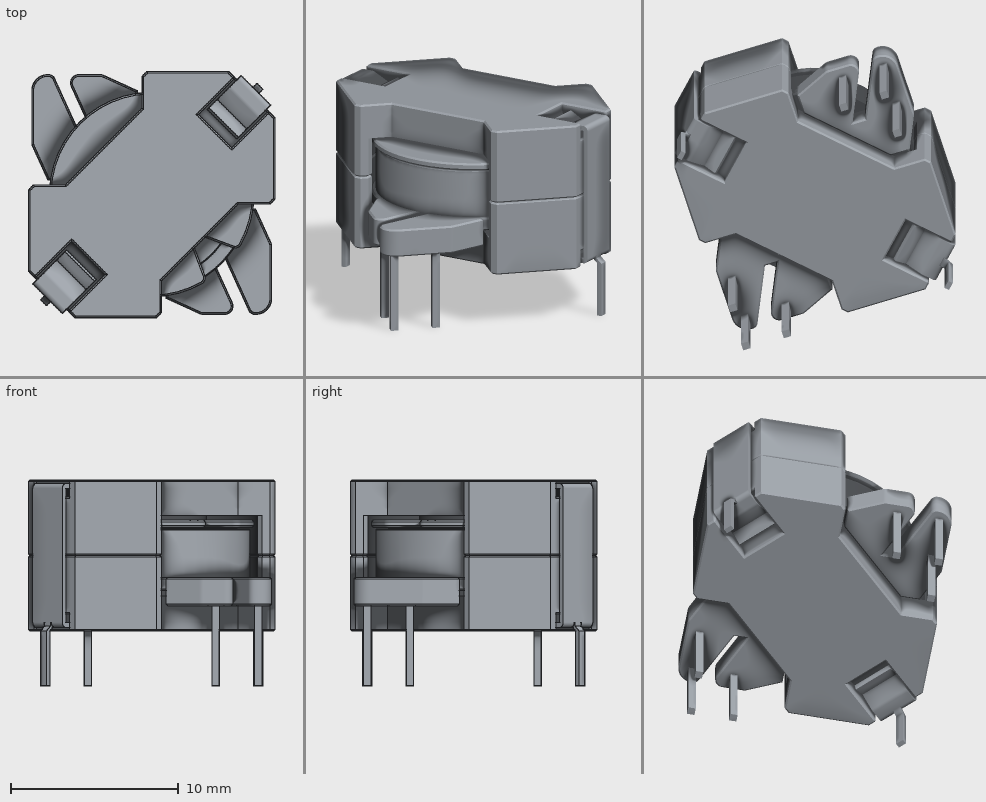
import cadquery as cq
import math

DIAGONAL_ANGLE = 45
ROOT2 = math.sqrt(2)
OVERSHOOT = 1.0

CORE_SIZE = 14.7
CORE_HEIGHT = 9.0
HALF_HEIGHT = CORE_HEIGHT / 2
HALF_SIZE = CORE_SIZE / 2
END_CUT = 2.77
NOTCH_FACE = 0.58
WAIST = 8.1
LEG_CHAMFER = 0.3
EDGE_CHAMFER = 0.1
PLATE_THICKNESS = 2.1
CAVITY_RADIUS = 6.3
POST_DIAMETER = 6.5
CORE_END = (CORE_SIZE - END_CUT) / ROOT2
NOTCH_DEPTH_POINT = WAIST / ROOT2 - NOTCH_FACE

RECESS_WIDTH = 2.8
RECESS_DEPTH = 1.0
RECESS_END = 5.35
RECESS_FILLET = 0.6

CLIP_WIDTH = 2.5
CLIP_THICKNESS = 0.3
CLIP_INSET = 0.2
CLIP_GAP = 0.05
CLIP_INSIDE = CORE_END + CLIP_GAP
CLIP_OUTSIDE = CLIP_INSIDE + CLIP_THICKNESS
ARM_BEND = 7.8
ARM_VALLEY = 6.77
ARM_TIP = 6.07
VALLEY_DROP = 0.5
TIP_DROP = 0.11
ARM_BEND_FILLET = 0.4
CLIP_PIN_WIDTH = 0.5
CLIP_PIN_OFFSET = 0.34
JOG_TOP = 0.3
JOG_BOTTOM = 0.0
CLIP_PIN_RELIEF = 0.06

FLANGE_RADIUS = 6.1
FLANGE_BOTTOM = 6.18
FLANGE_TOP = 6.61
TUBE_DIAMETER = 7.15
FOOT_BOTTOM = 2.4
WING_BOTTOM = 1.5
WING_TOP = 3.2
WING_REACH = 7.15
WING_SIDE = 0.86
WING_GAP = 0.1
WING_INNER = WAIST / 2 + WING_GAP
WING_SLANT_START = 2.97
WING_FILLET = 0.5
WING_TIP_FILLET = 0.95
SLOT_OUTER_FILLET = 0.4
FLARE_ANGLE = 24.5
SLOT_EDGE_INNER = 5.12
SLOT_EDGE_OUTER = 5.9
SLOT_LENGTH = 3.6
GAP_APEX = 3.07
GAP_CORNER_FILLET = 0.4

INNER_WINDING_DIAMETER = 10.17
OUTER_WINDING_DIAMETER = 11.69
OUTER_WINDING_TOP = 6.08
WINDING_CHAMFER = 0.05

PIN_WIDTH = 0.45
PIN_BOTTOM = -3.28
PIN_PITCH = 2.54
PIN_NEAR = 1.5 * PIN_PITCH
PIN_FAR = 2.5 * PIN_PITCH

FLARE = math.tan(math.radians(FLARE_ANGLE))


def cylinder(diameter, bottom, top):
    return cq.Workplane("XY").workplane(offset=bottom).circle(diameter / 2).extrude(top - bottom)


def both_ends(shape):
    """The shape and its copy turned half a turn about Z."""
    return shape.union(shape.rotate((0, 0, 0), (0, 0, 1), 180))


def to_diagonal(shape):
    return shape.rotate((0, 0, 0), (0, 0, 1), DIAGONAL_ANGLE)


def edges_at_radius(solid, radius):
    """Upright edges of the solid at the given distance from the Z axis."""
    tolerance = 0.01
    return solid.edges("|Z").filter(
        lambda edge: abs(math.hypot(edge.Center().x, edge.Center().y) - radius) < tolerance
    )


def core_prism(bottom, top):
    """Square with cut ends and a stepped notch on each side of the waist."""
    upper_end = [
        (-NOTCH_FACE, NOTCH_DEPTH_POINT),
        (-NOTCH_FACE, HALF_SIZE),
        (HALF_SIZE - END_CUT, HALF_SIZE),
        (HALF_SIZE, HALF_SIZE - END_CUT),
        (HALF_SIZE, -NOTCH_FACE),
        (NOTCH_DEPTH_POINT, -NOTCH_FACE),
    ]
    lower_end = [(-x, -y) for x, y in upper_end]
    prism = cq.Workplane("XY").workplane(offset=bottom)
    prism = prism.polyline(upper_end + lower_end).close().extrude(top - bottom)
    return edges_at_radius(prism, math.hypot(HALF_SIZE, NOTCH_FACE)).chamfer(LEG_CHAMFER)


def clip_recess():
    """Recess in the core's underside, open at the end face, with a filleted inner wall."""
    length = CORE_END + OVERSHOOT - RECESS_END
    recess = cq.Workplane("XY").box(
        length, RECESS_WIDTH, RECESS_DEPTH, centered=(False, True, False)
    )
    recess = recess.edges("|Y and >Z and <X").fillet(RECESS_FILLET)
    return to_diagonal(recess.translate((RECESS_END, 0, 0)))


def is_underside_rim(edge):
    """True for edges of the underside and of the recess mouths in the end faces."""
    tolerance = 0.01
    center = edge.Center()
    on_underside = center.z < tolerance
    on_end_face = abs(abs(center.x + center.y) / ROOT2 - CORE_END) < tolerance
    return on_underside or (on_end_face and center.z < RECESS_DEPTH + tolerance)


def lower_core_half():
    legs = core_prism(PLATE_THICKNESS, HALF_HEIGHT)
    legs = legs.cut(cylinder(2 * CAVITY_RADIUS, PLATE_THICKNESS, HALF_HEIGHT))
    legs = edges_at_radius(legs, CAVITY_RADIUS).chamfer(LEG_CHAMFER)
    half = core_prism(0, PLATE_THICKNESS).union(legs)
    half = half.cut(both_ends(clip_recess()))
    half = half.edges().filter(is_underside_rim).chamfer(EDGE_CHAMFER)
    half = half.faces(">Z").edges().chamfer(EDGE_CHAMFER)
    return half.union(cylinder(POST_DIAMETER, PLATE_THICKNESS, HALF_HEIGHT))


def mirrored_about_parting(shape):
    return shape.mirror("XY", (0, 0, HALF_HEIGHT))


def core():
    half = lower_core_half()
    return half.union(mirrored_about_parting(half))


def upright_strip(outline, width):
    """Profile in the XZ plane given a width centred on Y."""
    return cq.Workplane("XZ").polyline(outline).close().extrude(width / 2, both=True)


def clip_upper_half():
    """Outer leg with a rounded bend and a V-shaped arm that dips into the recess."""
    top = CORE_HEIGHT - CLIP_INSET
    under = top - CLIP_THICKNESS
    dip_angle = math.atan2(VALLEY_DROP, ARM_BEND - ARM_VALLEY)
    rise_angle = math.atan2(VALLEY_DROP - TIP_DROP, ARM_VALLEY - ARM_TIP)
    valley_thickness = CLIP_THICKNESS / math.cos((dip_angle + rise_angle) / 2)
    half = upright_strip(
        [
            (CLIP_INSIDE, HALF_HEIGHT),
            (CLIP_OUTSIDE, HALF_HEIGHT),
            (CLIP_OUTSIDE, top),
            (ARM_BEND, top),
            (ARM_VALLEY, top - VALLEY_DROP),
            (ARM_TIP, top - TIP_DROP),
            (
                ARM_TIP - CLIP_THICKNESS * math.sin(rise_angle),
                top - TIP_DROP - CLIP_THICKNESS * math.cos(rise_angle),
            ),
            (ARM_VALLEY, top - VALLEY_DROP - valley_thickness),
            (ARM_BEND + CLIP_THICKNESS * math.tan(dip_angle / 2), under),
            (CLIP_INSIDE, under),
        ],
        CLIP_WIDTH,
    )
    half = half.edges(cq.NearestToPointSelector((CLIP_OUTSIDE, 0, top))).fillet(CLIP_THICKNESS)
    return half.edges(cq.NearestToPointSelector((ARM_BEND, 0, top))).fillet(ARM_BEND_FILLET)


def clip_pin():
    """Strip that continues the leg downward, jogged outward below the core."""
    return upright_strip(
        [
            (CLIP_INSIDE, HALF_HEIGHT),
            (CLIP_INSIDE, JOG_TOP),
            (CLIP_INSIDE + CLIP_PIN_OFFSET, JOG_BOTTOM),
            (CLIP_INSIDE + CLIP_PIN_OFFSET, PIN_BOTTOM),
            (CLIP_OUTSIDE + CLIP_PIN_OFFSET, PIN_BOTTOM),
            (CLIP_OUTSIDE + CLIP_PIN_OFFSET, JOG_BOTTOM),
            (CLIP_OUTSIDE, JOG_TOP),
            (CLIP_OUTSIDE, HALF_HEIGHT),
        ],
        CLIP_PIN_WIDTH,
    )


def clips():
    upper = clip_upper_half()
    relief = cq.Workplane("XY").box(
        CLIP_THICKNESS,
        CLIP_PIN_WIDTH + 2 * CLIP_PIN_RELIEF,
        CLIP_INSET + CLIP_THICKNESS,
        centered=(False, True, False),
    )
    lower = mirrored_about_parting(upper).cut(relief.translate((CLIP_INSIDE, 0, 0)))
    return both_ends(to_diagonal(upper.union(lower).union(clip_pin())))


def wing_slot():
    """Slanted slot that splits a wing, open at its outer side."""
    outer = -WING_REACH - OVERSHOOT
    inner = -WING_REACH + SLOT_LENGTH
    outline = [
        (SLOT_EDGE_INNER + OVERSHOOT * FLARE, outer),
        (SLOT_EDGE_OUTER + OVERSHOOT * FLARE, outer),
        (SLOT_EDGE_OUTER - SLOT_LENGTH * FLARE, inner),
        (SLOT_EDGE_INNER - SLOT_LENGTH * FLARE, inner),
    ]
    height = WING_TOP - WING_BOTTOM
    return cq.Workplane("XY").workplane(offset=WING_BOTTOM).polyline(outline).close().extrude(height)


def wing():
    """Terminal block with two prongs, beside the core's waist."""
    flank = WING_REACH - (WING_SLANT_START - WING_SIDE) * FLARE
    inner = WING_INNER * ROOT2 - WING_SIDE
    lower_side = [
        (WING_SIDE, -inner),
        (WING_SIDE, -flank),
        (WING_SLANT_START, -WING_REACH),
    ]
    upper_side = [(-y, -x) for x, y in reversed(lower_side)]
    outline = lower_side + [(WING_REACH, -WING_REACH)] + upper_side
    height = WING_TOP - WING_BOTTOM
    block = cq.Workplane("XY").workplane(offset=WING_BOTTOM).polyline(outline).close()
    block = block.extrude(height).cut(wing_slot())
    middle = (WING_BOTTOM + WING_TOP) / 2
    fillets = [
        (WING_SLANT_START, -WING_REACH, WING_FILLET),
        (SLOT_EDGE_INNER, -WING_REACH, WING_FILLET),
        (SLOT_EDGE_OUTER, -WING_REACH, SLOT_OUTER_FILLET),
        (WING_REACH, -WING_REACH, WING_TIP_FILLET),
        (WING_REACH, -WING_SLANT_START, WING_FILLET),
    ]
    for x, y, radius in fillets:
        block = block.edges(cq.NearestToPointSelector((x, y, middle))).fillet(radius)
    return block.faces("<Z or >Z").edges().chamfer(EDGE_CHAMFER)


def upper_flange():
    """Disc with a V gap, widening outward, on the short diagonal."""
    flange = cylinder(2 * FLANGE_RADIUS, FLANGE_BOTTOM, FLANGE_TOP)
    reach = FLANGE_RADIUS + OVERSHOOT
    half_width = (reach - GAP_APEX) * FLARE
    gap = cq.Workplane("XY").workplane(offset=FLANGE_BOTTOM)
    gap = gap.polyline([(0, -GAP_APEX), (half_width, -reach), (-half_width, -reach)]).close()
    gap = gap.extrude(FLANGE_TOP - FLANGE_BOTTOM)
    flange = flange.cut(to_diagonal(gap))
    corners = flange.edges("|Z").filter(lambda edge: edge.Center().y < -GAP_APEX)
    flange = corners.fillet(GAP_CORNER_FILLET)
    return flange.faces("<Z or >Z").edges().chamfer(EDGE_CHAMFER)


def coil_former():
    tube = cylinder(TUBE_DIAMETER, FOOT_BOTTOM, FLANGE_TOP)
    foot = cylinder(2 * FLANGE_RADIUS, FOOT_BOTTOM, WING_TOP)
    foot = foot.cut(both_ends(wing_slot())).faces("<Z or >Z").edges().chamfer(EDGE_CHAMFER)
    return tube.union(foot).union(both_ends(wing())).union(upper_flange())


def windings():
    inner = cylinder(INNER_WINDING_DIAMETER, WING_TOP, FLANGE_BOTTOM)
    outer = cylinder(OUTER_WINDING_DIAMETER, WING_TOP, OUTER_WINDING_TOP)
    inner = inner.edges(">Z").chamfer(WINDING_CHAMFER)
    outer = outer.edges(">Z").chamfer(WINDING_CHAMFER)
    return inner.union(outer)


def wing_pins():
    pins = cq.Workplane("XY").workplane(offset=PIN_BOTTOM)
    pins = pins.pushPoints([(PIN_NEAR, -PIN_FAR), (PIN_FAR, -PIN_FAR), (PIN_FAR, -PIN_NEAR)])
    return both_ends(pins.rect(PIN_WIDTH, PIN_WIDTH).extrude(WING_TOP - EDGE_CHAMFER - PIN_BOTTOM))


result = core().union(coil_former()).union(windings()).union(wing_pins()).union(clips())